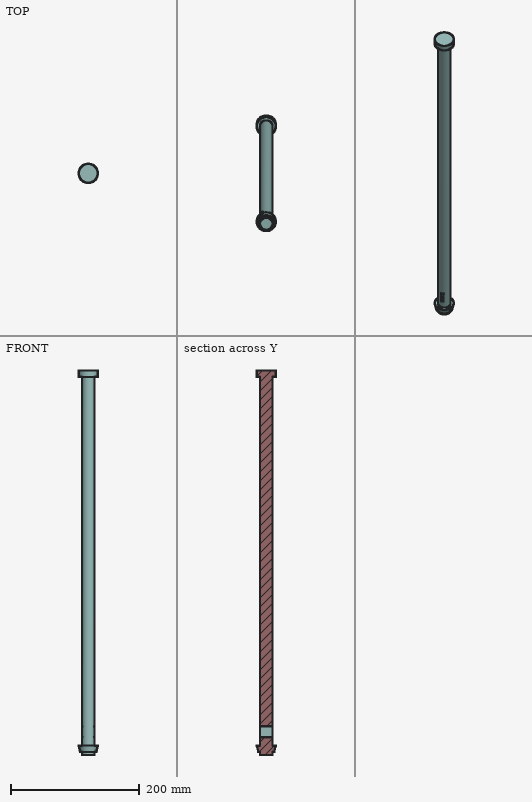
import cadquery as cq
import math

TOTAL_LENGTH = 600.0
SHAFT_DIAMETER = 20.0

HEAD_DIAMETER = 30.0
HEAD_THICKNESS = 10.0

COLLAR_TOP_DIAMETER = 30.0
COLLAR_HEIGHT = 10.0
COLLAR_TAPER_DEGREES = 12.0
TIP_LENGTH = 5.0

SLOT_WIDTH = 4.0
SLOT_LENGTH = 17.0
SLOT_BOTTOM_Z = 28.0

SHAFT_RADIUS = SHAFT_DIAMETER / 2
HEAD_RADIUS = HEAD_DIAMETER / 2
HEAD_BOTTOM_Z = TOTAL_LENGTH - HEAD_THICKNESS
COLLAR_TOP_RADIUS = COLLAR_TOP_DIAMETER / 2
COLLAR_BOTTOM_RADIUS = COLLAR_TOP_RADIUS - COLLAR_HEIGHT * math.tan(math.radians(COLLAR_TAPER_DEGREES))
COLLAR_BOTTOM_Z = TIP_LENGTH
COLLAR_TOP_Z = COLLAR_BOTTOM_Z + COLLAR_HEIGHT


def make_pin():
    """Shaft, tapered collar and head as one body turned about Z."""
    half_profile = (
        cq.Workplane("YZ")
        .moveTo(0, 0)
        .lineTo(-SHAFT_RADIUS, 0)
        .lineTo(-SHAFT_RADIUS, COLLAR_BOTTOM_Z)
        .lineTo(-COLLAR_BOTTOM_RADIUS, COLLAR_BOTTOM_Z)
        .lineTo(-COLLAR_TOP_RADIUS, COLLAR_TOP_Z)
        .lineTo(-SHAFT_RADIUS, COLLAR_TOP_Z)
        .lineTo(-SHAFT_RADIUS, HEAD_BOTTOM_Z)
        .lineTo(-HEAD_RADIUS, HEAD_BOTTOM_Z)
        .lineTo(-HEAD_RADIUS, TOTAL_LENGTH)
        .lineTo(0, TOTAL_LENGTH)
        .close()
    )
    return half_profile.revolve(360, (0, 0, 0), (0, 1, 0))


def make_slot_cutter():
    """Rectangular bar along X, longer than the shaft is wide."""
    bar_length = 2 * SHAFT_DIAMETER
    bar = cq.Workplane("XY").box(bar_length, SLOT_WIDTH, SLOT_LENGTH, centered=(True, True, False))
    return bar.translate((0, 0, SLOT_BOTTOM_Z))


result = make_pin().cut(make_slot_cutter())